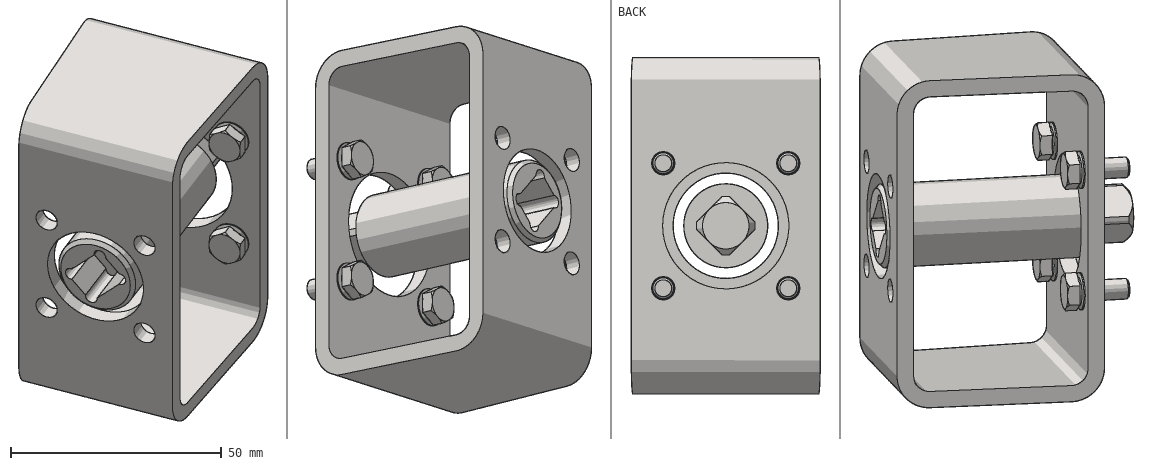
import cadquery as cq
import math

bracket_depth = 50.0
bracket_height = 80.0
front_width = 40.0
rear_width = 45.0
wall = 4.0
inner_corner_radius = 4.0
outer_corner_radius = inner_corner_radius + wall
front_bore_diameter = 25.0
rear_bore_diameter = 30.0
screw_hole_diameter = 5.5
front_bolt_circle = 36.0
rear_bolt_circle = 42.0
front_hole_pitch = front_bolt_circle / math.sqrt(2)
rear_hole_pitch = rear_bolt_circle / math.sqrt(2)
rear_wall_inner_y = bracket_depth - wall

shaft_diameter = 20.0
shaft_chamfer = 1.0
shaft_front_y = 0.0
shaft_body_length = 48.0
shaft_rear_y = 61.0
square_size = 11.0
square_corner_diameter = 14.0
socket_length = 12.4
socket_width = 9.3
socket_depth = 12.0
relief_radius = 1.5
relief_inset = 1.0
drive_angle = 45.0

washer_diameter = 9.0
washer_bore_diameter = 5.3
washer_thickness = 0.6
washer_face_diameter = 7.2
washer_rim_height = 0.3

bolt_diameter = 5.0
bolt_length = 12.0
bolt_tip_chamfer = 0.5
collar_diameter = 6.9
collar_height = 0.6
head_height = 3.6
head_across_flats = 8.0
head_sides = 6
head_across_corners = head_across_flats / math.cos(math.pi / head_sides)
hexagon_angle = 90.0
head_face_diameter = 8.1
head_chamfer_angle = 35.0


def plane_at(y):
    """XZ workplane at depth y; a negative extrusion from it runs toward +Y."""
    return cq.Workplane("XZ", origin=(0, y, 0))


def cylinder(diameter, y_start, y_end):
    """Cylinder around the Y axis from y_start to y_end."""
    return plane_at(y_start).circle(diameter / 2).extrude(y_start - y_end)


def square_of_points(pitch):
    """Four (x, z) corners of a square centred on the Y axis."""
    half = pitch / 2
    return [(x, z) for x in (-half, half) for z in (-half, half)]


def turned(body, angle):
    """Body turned around the Y axis; a positive angle turns +Z toward +X."""
    return body.rotate((0, 0, 0), (0, 1, 0), angle)


def revolved(profile):
    """Solid of revolution around the Y axis from a (radius, y) profile."""
    return cq.Workplane("XY").polyline(profile).close().revolve(360, (0, 0, 0), (0, 1, 0))


def make_bracket():
    """Tapered rectangular tube with bored and drilled front and rear walls."""
    middle = bracket_depth / 2
    tube_plane = cq.Workplane("YZ", origin=(-rear_width / 2, middle, 0))
    outer = tube_plane.rect(bracket_depth, bracket_height).extrude(rear_width)
    outer = outer.edges("|X").fillet(outer_corner_radius)
    inner = tube_plane.rect(bracket_depth - 2 * wall, bracket_height - 2 * wall).extrude(rear_width)
    inner = inner.edges("|X").fillet(inner_corner_radius)

    taper = (
        cq.Workplane("XY", origin=(0, 0, -bracket_height / 2))
        .polyline([
            (-front_width / 2, 0),
            (front_width / 2, 0),
            (rear_width / 2, bracket_depth),
            (-rear_width / 2, bracket_depth),
        ])
        .close()
        .extrude(bracket_height)
    )
    bracket = outer.cut(inner).intersect(taper)

    for y, bore, pitch in (
        (0, front_bore_diameter, front_hole_pitch),
        (rear_wall_inner_y, rear_bore_diameter, rear_hole_pitch),
    ):
        bracket = bracket.cut(cylinder(bore, y, y + wall))
        screw_holes = (
            plane_at(y)
            .pushPoints(square_of_points(pitch))
            .circle(screw_hole_diameter / 2)
            .extrude(-wall)
        )
        bracket = bracket.cut(screw_holes)
    return bracket


def make_socket():
    """Rectangular pocket with a round relief in each corner."""
    pocket = plane_at(shaft_front_y).rect(socket_length, socket_width).extrude(-socket_depth)
    reliefs = (
        plane_at(shaft_front_y)
        .rect(socket_length - 2 * relief_inset, socket_width - 2 * relief_inset, forConstruction=True)
        .vertices()
        .circle(relief_radius)
        .extrude(-socket_depth)
    )
    return pocket.union(reliefs)


def make_square_end(y_start):
    """Male square with rounded corners and a conical chamfer down to its inscribed circle."""
    square = plane_at(y_start).rect(square_size, square_size).extrude(y_start - shaft_rear_y)
    corner_radius = square_corner_diameter / 2
    end_radius = square_size / 2
    chamfer_start_y = shaft_rear_y - (corner_radius - end_radius)
    envelope = revolved([
        (0, y_start),
        (corner_radius, y_start),
        (corner_radius, chamfer_start_y),
        (end_radius, shaft_rear_y),
        (0, shaft_rear_y),
    ])
    return square.intersect(envelope)


def make_shaft():
    """Round shaft with a square end and a socket, both turned onto their corners."""
    body_end_y = shaft_front_y + shaft_body_length
    body = cylinder(shaft_diameter, shaft_front_y, body_end_y).faces("<Y").chamfer(shaft_chamfer)
    square_end = turned(make_square_end(body_end_y), -drive_angle)
    socket = turned(make_socket(), -drive_angle)
    return body.union(square_end).cut(socket)


def make_washer(x, z):
    """Washer lying on the inside of the rear wall, bevelled toward the bolt head."""
    seat_y = rear_wall_inner_y
    face_y = seat_y - washer_thickness
    bore_radius = washer_bore_diameter / 2
    washer = revolved([
        (bore_radius, seat_y),
        (washer_diameter / 2, seat_y),
        (washer_diameter / 2, seat_y - washer_rim_height),
        (washer_face_diameter / 2, face_y),
        (bore_radius, face_y),
    ])
    return washer.translate((x, 0, z))


def make_bolt(x, z):
    """Hexagon bolt with a collar under its head, pointing toward +Y."""
    bearing_y = rear_wall_inner_y - washer_thickness
    collar_y = bearing_y - collar_height
    head_y = bearing_y - head_height
    shank = cylinder(bolt_diameter, bearing_y, bearing_y + bolt_length)
    shank = shank.faces(">Y").chamfer(bolt_tip_chamfer)
    collar = cylinder(collar_diameter, collar_y, bearing_y)

    hexagon = plane_at(head_y).polygon(head_sides, head_across_corners).extrude(head_y - collar_y)
    hexagon = turned(hexagon, hexagon_angle)
    corner_radius = head_across_corners / 2
    face_radius = head_face_diameter / 2
    bevel_height = (corner_radius - face_radius) * math.tan(math.radians(head_chamfer_angle))
    envelope = revolved([
        (0, head_y),
        (face_radius, head_y),
        (corner_radius, head_y + bevel_height),
        (corner_radius, collar_y),
        (0, collar_y),
    ])
    head = hexagon.intersect(envelope)
    return head.union(collar).union(shank).translate((x, 0, z))


bracket = make_bracket()
shaft = make_shaft()
bolt_places = square_of_points(rear_hole_pitch)
washers = [make_washer(x, z) for x, z in bolt_places]
bolts = [make_bolt(x, z) for x, z in bolt_places]

result = cq.Compound.makeCompound([
    bracket.val(),
    shaft.val(),
    *[washer.val() for washer in washers],
    *[bolt.val() for bolt in bolts],
])